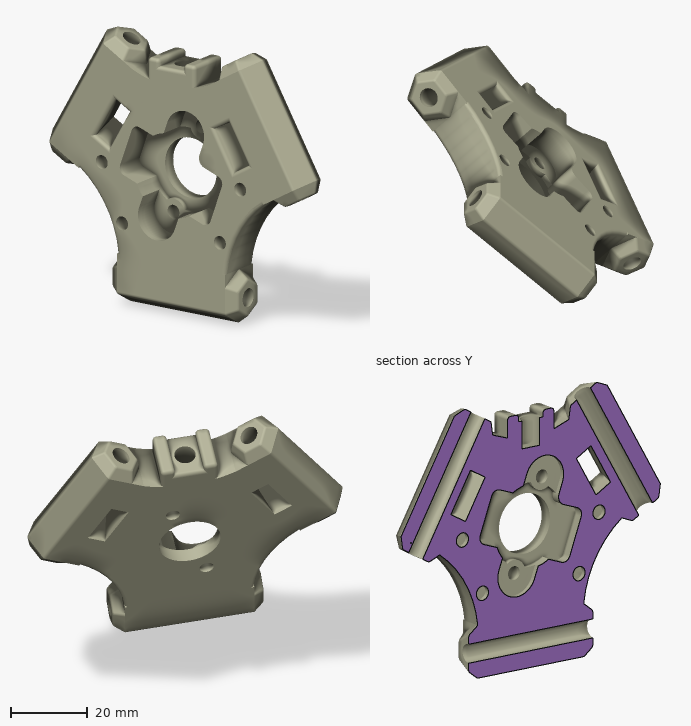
import cadquery as cq
import math

THICKNESS = 12.7
ARM_ANGLES = (150, 30, -90)
EDGE_RADIUS = 1.0

BAR_REACH = 38.35
BAR_LENGTH = 40.1
BAR_EDGE_RADIUS = 0.9
BAR_TAPER_LENGTH = 2.9
BAR_TAPER_DEPTH = 2.0
BAR_END_RADIUS = 0.8
BAR_BORE_DIAMETER = 5.0
BAR_APOTHEM = THICKNESS / 2
BAR_CORNER_RADIUS = BAR_APOTHEM / math.cos(math.radians(30))
RIDGE_LOSS = BAR_EDGE_RADIUS * (1 / math.cos(math.radians(30)) - 1)
BAR_DISTANCE = BAR_REACH - BAR_CORNER_RADIUS + RIDGE_LOSS

ARM_HALF_WIDTH = BAR_LENGTH / 2 - BAR_TAPER_LENGTH
ARM_START = BAR_DISTANCE - BAR_CORNER_RADIUS + RIDGE_LOSS
WAIST_RADIUS = 30.1
ARM_CORNER_RADIUS = math.hypot(ARM_START, ARM_HALF_WIDTH)
ARM_CORNER_SPREAD = math.degrees(math.atan2(ARM_HALF_WIDTH, ARM_START))
WAIST_HALF_SPREAD = math.radians(60 - ARM_CORNER_SPREAD)
WAIST_HALF_CHORD = ARM_CORNER_RADIUS * math.sin(WAIST_HALF_SPREAD)
WAIST_SAG = WAIST_RADIUS - math.sqrt(WAIST_RADIUS**2 - WAIST_HALF_CHORD**2)
WAIST_DISTANCE = ARM_CORNER_RADIUS * math.cos(WAIST_HALF_SPREAD) - WAIST_SAG

TAB_WIDTH = 15.0
TAB_TOP = 30.9
TAB_BOTTOM = 21.7
RAIL_WIDTH = 3.7
RAIL_HEIGHT = 1.9
TAB_FLOOR = TAB_TOP - RAIL_HEIGHT
TAB_HOLE_DIAMETER = 5.5
TAB_HOLE_DEPTH = 7.5

SEAT_TURN = 20
SEAT_DEPTH = 9.0
BORE_DIAMETER = 16.4
MOTOR_DIAMETER = 22.9
WING_SPAN = 30.5
WING_WIDTH = 14.7
WING_CORNER_RADIUS = 2.0
SEAT_STOP_RADIUS = 2.5
EAR_DISTANCE = 13.1
EAR_RADIUS = 6.0
EAR_DEPTH = 7.5
SCREW_DIAMETER = 3.8
SCREW_PAD_RADIUS = 3.6

PIN_DIAMETER = 3.8
PIN_DEPTH = 7.5
PIN_CIRCLE_RADIUS = 22.0
PIN_ANGLES = (0, 180, 225, 315)

SLOT_ARM_ANGLES = (30, 150)
SLOT_INNER = 19.0
SLOT_OUTER = 24.2
SLOT_LENGTH = 12.5
SLOT_LEAN = 15

FRONT = -THICKNESS / 2
BACK = THICKNESS / 2

PICK_MARGIN = 0.1
BEYOND = 83.5


def polar(radius, angle):
    """Point in the XZ plane at a radius and an angle from +X towards +Z."""
    turn = math.radians(angle)
    return (radius * math.cos(turn), radius * math.sin(turn))


def front_plane(depth=0.0):
    """Sketch plane below the front face, X right and Z up; positive extrusion goes to -Y."""
    return cq.Workplane("XZ", origin=(0, FRONT + depth, 0))


def to_arm(shape, angle):
    """Turn a shape built along +X about the bore so that it points along an arm."""
    return shape.rotate((0, 0, 0), (0, 1, 0), -angle)


def arm_point(angle, side):
    """Start of an arm side; side is -1 or +1 across the arm."""
    return polar(ARM_CORNER_RADIUS, angle + side * ARM_CORNER_SPREAD)


def make_hub():
    """Plate between the arms, with rounded edges on the two lower waists."""
    angles = sorted(ARM_ANGLES)
    outline = front_plane().moveTo(*arm_point(angles[0], -1))
    for angle in angles:
        outline = outline.lineTo(*arm_point(angle, 1))
        outline = outline.threePointArc(
            polar(WAIST_DISTANCE, angle + 60), arm_point(angle + 120, -1)
        )
    body = outline.close().extrude(-THICKNESS)
    lower_half = cq.selectors.BoxSelector((-BEYOND, -BEYOND, -BEYOND), (BEYOND, BEYOND, 0))
    return body.edges("%CIRCLE").edges(lower_half).fillet(EDGE_RADIUS)


def make_arm():
    """Arm along +X with its hexagonal bar along Z."""
    bar = (
        cq.Workplane("XY", origin=(BAR_DISTANCE, 0, -BAR_LENGTH / 2))
        .polygon(6, 2 * BAR_CORNER_RADIUS)
        .extrude(BAR_LENGTH)
    )
    bar = bar.faces("<Z or >Z").chamfer(BAR_TAPER_LENGTH, BAR_TAPER_DEPTH)
    bar = bar.edges("not #Z").fillet(BAR_EDGE_RADIUS)
    bar = bar.faces("<Z or >Z").edges().fillet(BAR_END_RADIUS)
    web = cq.Workplane("XY").box(
        BAR_DISTANCE - ARM_START, THICKNESS, 2 * ARM_HALF_WIDTH
    ).translate(((BAR_DISTANCE + ARM_START) / 2, 0, 0))
    return web.union(bar)


def make_bar_bore():
    """Bore through the whole length of a bar."""
    return (
        cq.Workplane("XY", origin=(BAR_DISTANCE, 0, -BAR_LENGTH / 2))
        .circle(BAR_BORE_DIAMETER / 2)
        .extrude(BAR_LENGTH)
    )


def make_tab():
    """Tab whose notch leaves a rail along Y on each side; outer edges are rounded."""
    block = cq.Workplane("XY", origin=(0, 0, TAB_BOTTOM)).box(
        TAB_WIDTH, THICKNESS, TAB_TOP - TAB_BOTTOM, centered=(True, True, False)
    )
    notch = cq.Workplane("XY", origin=(0, 0, TAB_FLOOR)).box(
        TAB_WIDTH - 2 * RAIL_WIDTH, THICKNESS, RAIL_HEIGHT, centered=(True, True, False)
    )
    all_edges = cq.selectors.BoxSelector((-BEYOND, -BEYOND, -BEYOND), (BEYOND, BEYOND, BEYOND))
    base_edges = cq.selectors.BoxSelector(
        (-TAB_WIDTH, -THICKNESS, TAB_BOTTOM - PICK_MARGIN),
        (TAB_WIDTH, THICKNESS, TAB_BOTTOM + PICK_MARGIN),
    )
    inner_half = TAB_WIDTH / 2 - RAIL_WIDTH + PICK_MARGIN
    notch_corners = cq.selectors.BoxSelector(
        (-inner_half, -PICK_MARGIN, TAB_FLOOR - PICK_MARGIN),
        (inner_half, PICK_MARGIN, TAB_FLOOR + PICK_MARGIN),
    )
    above_base = cq.selectors.SubtractSelector(all_edges, base_edges)
    rounded_edges = cq.selectors.SubtractSelector(above_base, notch_corners)
    return block.cut(notch).edges(rounded_edges).fillet(EDGE_RADIUS)


def make_tab_hole():
    """Blind hole down from the floor between the rails."""
    return (
        cq.Workplane("XY", origin=(0, 0, TAB_FLOOR))
        .circle(TAB_HOLE_DIAMETER / 2)
        .extrude(-TAB_HOLE_DEPTH)
    )


def make_motor_seat():
    """Recess for the motor, its wings and its two screw ears, with the bore and screw holes."""
    ears = ((0, EAR_DISTANCE), (0, -EAR_DISTANCE))
    floor = front_plane(SEAT_DEPTH)
    wings = floor.rect(WING_SPAN, WING_WIDTH).extrude(SEAT_DEPTH)
    wings = wings.edges("|Y").fillet(WING_CORNER_RADIUS)
    motor = floor.circle(MOTOR_DIAMETER / 2).extrude(SEAT_DEPTH)
    pads = floor.pushPoints(ears).circle(SCREW_PAD_RADIUS).extrude(SEAT_DEPTH)

    stop_size = MOTOR_DIAMETER / 2
    stop_corner = floor.moveTo(EAR_RADIUS, WING_WIDTH / 2)
    stop = stop_corner.rect(stop_size, stop_size, centered=False).extrude(SEAT_DEPTH)
    stop = stop.edges("|Y").edges("<X").edges("<Z").fillet(SEAT_STOP_RADIUS)
    stop_clearance = stop_corner.rect(
        SEAT_STOP_RADIUS, SEAT_STOP_RADIUS, centered=False
    ).extrude(SEAT_DEPTH)

    ear_floor = front_plane(EAR_DEPTH)
    ear_slots = ear_floor.pushPoints(ears).circle(EAR_RADIUS).extrude(EAR_DEPTH)
    ear_link = ear_floor.rect(2 * EAR_RADIUS, 2 * EAR_DISTANCE).extrude(EAR_DEPTH)
    bore = front_plane().circle(BORE_DIAMETER / 2).extrude(-THICKNESS)
    screws = front_plane().pushPoints(ears).circle(SCREW_DIAMETER / 2).extrude(-THICKNESS)

    seat = wings.union(motor).union(stop_clearance).cut(stop).cut(pads)
    seat = seat.union(ear_slots).union(ear_link).union(bore).union(screws)
    return seat.rotate((0, 0, 0), (0, 1, 0), SEAT_TURN)


def make_pin_holes():
    """Blind pin holes on a circle around the bore."""
    points = [polar(PIN_CIRCLE_RADIUS, angle) for angle in PIN_ANGLES]
    return front_plane().pushPoints(points).circle(PIN_DIAMETER / 2).extrude(-PIN_DEPTH)


def add_slot(body, angle):
    """Cut the leaning slot of one arm and round its front rim."""
    body = to_arm(body, -angle)
    lean = THICKNESS * math.tan(math.radians(SLOT_LEAN))
    slot = (
        cq.Workplane("XY", origin=(0, 0, -SLOT_LENGTH / 2))
        .moveTo(SLOT_INNER, FRONT)
        .lineTo(SLOT_OUTER, FRONT)
        .lineTo(SLOT_OUTER + lean, BACK)
        .lineTo(SLOT_INNER + lean, BACK)
        .close()
        .extrude(SLOT_LENGTH)
    )
    rim = cq.selectors.BoxSelector(
        (SLOT_INNER - PICK_MARGIN, FRONT - PICK_MARGIN, -SLOT_LENGTH),
        (SLOT_OUTER + PICK_MARGIN, FRONT + PICK_MARGIN, SLOT_LENGTH),
    )
    body = body.cut(slot).edges(rim).fillet(EDGE_RADIUS)
    return to_arm(body, angle)


result = make_hub()
for angle in ARM_ANGLES:
    result = result.union(to_arm(make_arm(), angle))
for angle in ARM_ANGLES:
    result = result.cut(to_arm(make_bar_bore(), angle))
result = result.union(make_tab()).cut(make_tab_hole())
for angle in SLOT_ARM_ANGLES:
    result = add_slot(result, angle)
result = result.cut(make_motor_seat()).cut(make_pin_holes())